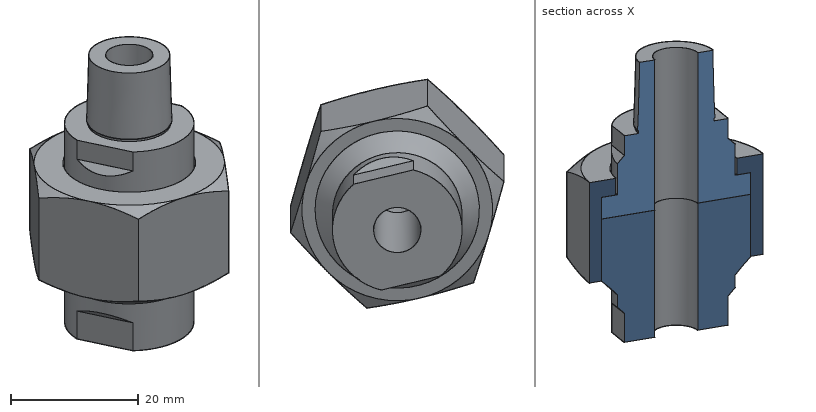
import cadquery as cq
import math

total_height = 47.0
spigot_bottom = 35.55
nipple_shoulder = 35.0
nut_top = 28.05
nut_bottom = 11.0
cone_bottom = 8.25

nut_across_flats = 30.0
nut_chamfer_angle = 30.0
nut_lip = 2.8
nut_clearance = 0.25

bore_radius = 3.7
collar_radius = 10.2
spigot_top_radius = 6.4
spigot_bottom_radius = 6.7
neck_radius = 6.55
spigot_chamfer = spigot_bottom_radius - neck_radius
flange_thickness = 3.75

flat_half_width = 9.0
upper_flat_end = 31.7
lower_flat_end = 4.95

nut_inradius = nut_across_flats / 2
nut_corner_radius = nut_inradius / math.cos(math.pi / 6)
nut_chamfer_height = (nut_corner_radius - nut_inradius) * math.tan(math.radians(nut_chamfer_angle))
seat_radius = collar_radius + nut_bottom - cone_bottom
flange_top = nut_top - nut_lip
seat_level = flange_top - flange_thickness


def revolve_profile(points):
    """Turn a closed (radius, z) outline about the Z axis."""
    return cq.Workplane("XZ").polyline(points).close().revolve(360, (0, 0), (0, 1))


def cut_wrench_flats(body, open_end, flat_end):
    """Cut two opposite flats from open_end to flat_end, with a sloped run-out."""
    direction = math.copysign(1, flat_end - open_end)
    depth = collar_radius - flat_half_width
    for side in (1, -1):
        cutter = (
            cq.Workplane("YZ")
            .polyline([
                (side * flat_half_width, open_end),
                (side * flat_half_width, flat_end),
                (side * collar_radius, flat_end + direction * depth),
                (side * collar_radius, open_end),
            ])
            .close()
            .extrude(collar_radius, both=True)
        )
        body = body.cut(cutter)
    return body


def make_nipple():
    """Upper end: tapered spigot, neck, collar with flats, and hidden flange."""
    body = revolve_profile([
        (bore_radius, seat_level),
        (seat_radius, seat_level),
        (seat_radius, flange_top),
        (collar_radius, flange_top),
        (collar_radius, nipple_shoulder),
        (neck_radius, nipple_shoulder),
        (neck_radius, spigot_bottom - spigot_chamfer),
        (spigot_bottom_radius, spigot_bottom),
        (spigot_top_radius, total_height),
        (bore_radius, total_height),
    ])
    return cut_wrench_flats(body, nipple_shoulder, upper_flat_end)


def make_socket():
    """Lower end: collar with flats, flaring into the seat inside the nut."""
    body = revolve_profile([
        (bore_radius, 0),
        (collar_radius, 0),
        (collar_radius, cone_bottom),
        (seat_radius, nut_bottom),
        (seat_radius, seat_level),
        (bore_radius, seat_level),
    ])
    return cut_wrench_flats(body, 0, lower_flat_end)


def make_nut():
    """Hexagon nut with chamfered corners and a lip above the flange."""
    hexagon = (
        cq.Workplane("XY")
        .workplane(offset=nut_bottom)
        .polygon(6, 2 * nut_corner_radius)
        .extrude(nut_top - nut_bottom)
    )
    lip_radius = collar_radius + nut_clearance
    turned_form = revolve_profile([
        (seat_radius, nut_bottom),
        (nut_inradius, nut_bottom),
        (nut_corner_radius, nut_bottom + nut_chamfer_height),
        (nut_corner_radius, nut_top - nut_chamfer_height),
        (nut_inradius, nut_top),
        (lip_radius, nut_top),
        (lip_radius, flange_top),
        (seat_radius, flange_top),
    ])
    return hexagon.intersect(turned_form)


nipple = make_nipple()
socket = make_socket()
nut = make_nut()

result = cq.Compound.makeCompound([*nipple.solids().vals(), *socket.solids().vals(), *nut.solids().vals()])